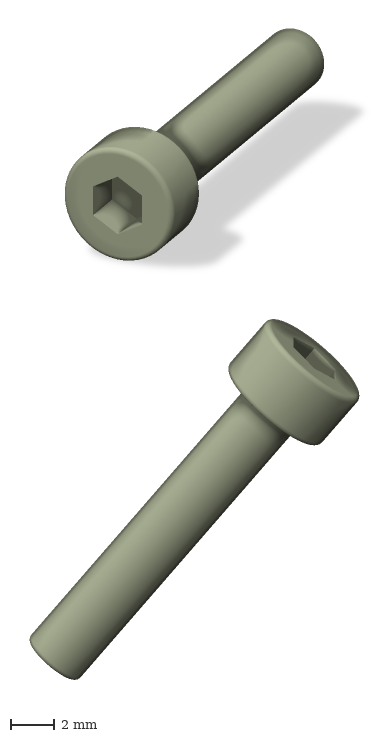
import cadquery as cq
import math

total_length = 19.0
head_diameter = 5.6
shank_diameter = 3.0
head_height = shank_diameter
shank_length = total_length - head_height
edge_radius = 0.25
socket_across_flats = 2.5
socket_depth = head_height * 2 / 3


def cylinder_along_y(diameter, start, length):
    """Solid cylinder from Y = start, running towards +Y."""
    plane = cq.Workplane("XZ", origin=(0, start, 0))
    return plane.circle(diameter / 2).extrude(-length)


head = cylinder_along_y(head_diameter, -head_height, head_height).edges().fillet(edge_radius)

shank = cylinder_along_y(shank_diameter, 0, shank_length).faces(">Y").edges().fillet(edge_radius)

socket_across_corners = socket_across_flats / math.cos(math.radians(30))
socket = (
    cq.Workplane("XZ", origin=(0, -head_height, 0))
    .transformed(rotate=(0, 0, 90))
    .polygon(6, socket_across_corners)
    .extrude(-socket_depth)
)

result = head.union(shank).cut(socket)